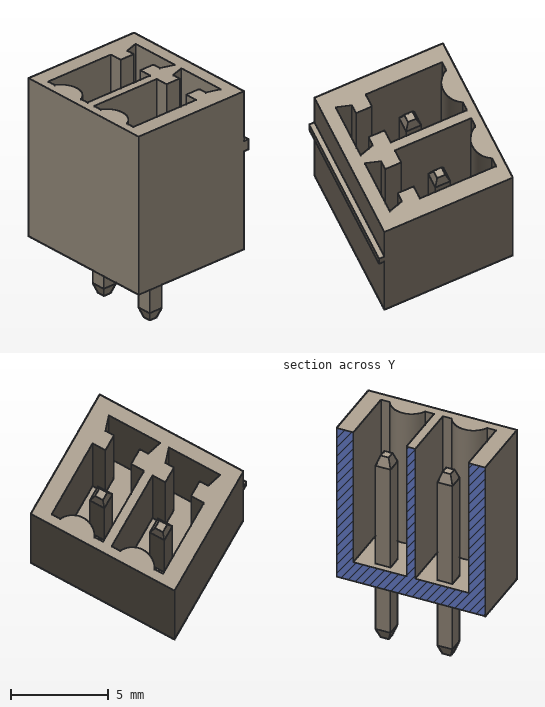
import cadquery as cq

POLE_COUNT = 2
PITCH = 3.5
HOUSING_WIDTH = 8.4
HOUSING_DEPTH = 7.25
HOUSING_HEIGHT = 9.2

RIB_PROJECTION = 0.3
RIB_HEIGHT = 0.6
RIB_BOTTOM = 5.7

SOCKET_FLOOR = 1.2
SOCKET_WIDTH = 3.0
SOCKET_FRONT = 0.5
SHOULDER_Y = 4.8
NECK_WIDTH = 1.5
NECK_END_Y = 5.7
DOVETAIL_NARROW_WIDTH = 2.5
SOCKET_BACK = 6.5

KEY_WIDTH = 2.0
KEY_HEIGHT = 0.62

PIN_Y = 3.0
PIN_SIZE = 0.85
PIN_TIP_SIZE = 0.46
PIN_TAPER_LENGTH = 0.57
PIN_TAIL_LENGTH = 3.4
PIN_TOP = 7.8


def make_housing():
    return cq.Workplane("XY").box(
        HOUSING_WIDTH, HOUSING_DEPTH, HOUSING_HEIGHT, centered=(True, False, False)
    )


def make_latch_rib():
    return (
        cq.Workplane("XY")
        .box(HOUSING_WIDTH, RIB_PROJECTION, RIB_HEIGHT, centered=(True, False, False))
        .translate((0, HOUSING_DEPTH, RIB_BOTTOM))
    )


def make_socket(center_x):
    """Space of one socket: a plug chamber with a neck and a dovetail behind it."""
    half_socket = SOCKET_WIDTH / 2
    half_neck = NECK_WIDTH / 2
    half_narrow = DOVETAIL_NARROW_WIDTH / 2
    half_key = KEY_WIDTH / 2
    return (
        cq.Workplane("XY", origin=(center_x, 0, SOCKET_FLOOR))
        .moveTo(-half_socket, SOCKET_FRONT)
        .lineTo(-half_key, SOCKET_FRONT)
        .threePointArc((0, SOCKET_FRONT + KEY_HEIGHT), (half_key, SOCKET_FRONT))
        .lineTo(half_socket, SOCKET_FRONT)
        .lineTo(half_socket, SHOULDER_Y)
        .lineTo(half_neck, SHOULDER_Y)
        .lineTo(half_neck, NECK_END_Y)
        .lineTo(half_narrow, NECK_END_Y)
        .lineTo(half_socket, SOCKET_BACK)
        .lineTo(-half_socket, SOCKET_BACK)
        .lineTo(-half_narrow, NECK_END_Y)
        .lineTo(-half_neck, NECK_END_Y)
        .lineTo(-half_neck, SHOULDER_Y)
        .lineTo(-half_socket, SHOULDER_Y)
        .close()
        .extrude(HOUSING_HEIGHT - SOCKET_FLOOR)
    )


def make_pin_taper(center_x, base_z, direction):
    """Truncated pyramid at a pin end; direction is +1 upward or -1 downward."""
    return (
        cq.Workplane("XY", origin=(center_x, PIN_Y, base_z))
        .rect(PIN_SIZE, PIN_SIZE)
        .workplane(offset=direction * PIN_TAPER_LENGTH)
        .rect(PIN_TIP_SIZE, PIN_TIP_SIZE)
        .loft(ruled=True)
    )


def make_pin(center_x):
    shank_bottom = PIN_TAPER_LENGTH - PIN_TAIL_LENGTH
    shank_top = PIN_TOP - PIN_TAPER_LENGTH
    shank = (
        cq.Workplane("XY", origin=(center_x, PIN_Y, shank_bottom))
        .rect(PIN_SIZE, PIN_SIZE)
        .extrude(shank_top - shank_bottom)
    )
    upper_taper = make_pin_taper(center_x, shank_top, 1)
    lower_taper = make_pin_taper(center_x, shank_bottom, -1)
    return shank.union(upper_taper).union(lower_taper)


pole_positions = [(i - (POLE_COUNT - 1) / 2) * PITCH for i in range(POLE_COUNT)]

result = make_housing().union(make_latch_rib())
for pole_x in pole_positions:
    result = result.cut(make_socket(pole_x))
for pole_x in pole_positions:
    result = result.union(make_pin(pole_x))